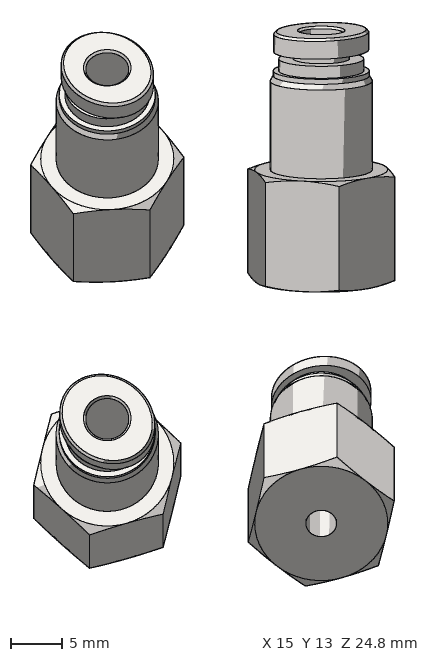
import cadquery as cq
import math

total_height = 24.8
hex_height = 10.99
barrel_top = total_height - 5.0
shoulder_bottom = total_height - 4.5
shoulder_top = total_height - 4.0
collar_top = total_height - 2.8
head_bottom = total_height - 2.0
collet_bottom = hex_height

hex_across_flats = 13.0
hex_across_corners = hex_across_flats / math.cos(math.pi / 6)
hex_chamfer_height = 0.35
barrel_diameter = 10.0
shoulder_diameter = 9.4
collar_diameter = 8.3
through_hole_diameter = 3.0

head_length = 9.85
head_width = 8.63
head_chamfer = 0.25
neck_diameter = 5.5
tube_bore_diameter = 4.2
bore_chamfer = 0.22


def make_chamfered_hex():
    """Hexagonal base with its corners turned down by a cone at both ends."""
    flat_radius = hex_across_flats / 2
    corner_radius = hex_across_corners / 2
    prism = cq.Workplane("XY").polygon(6, hex_across_corners).extrude(hex_height)
    turned_blank = (
        cq.Workplane("XZ")
        .polyline([
            (0, 0),
            (flat_radius, 0),
            (corner_radius, hex_chamfer_height),
            (corner_radius, hex_height - hex_chamfer_height),
            (flat_radius, hex_height),
            (0, hex_height),
        ])
        .close()
        .revolve(360, (0, 0, 0), (0, 1, 0))
    )
    return prism.intersect(turned_blank)


def make_stepped_barrel():
    """Turned barrel with a conical lead, a shoulder and a collar on top."""
    barrel_radius = barrel_diameter / 2
    shoulder_radius = shoulder_diameter / 2
    collar_radius = collar_diameter / 2
    return (
        cq.Workplane("XZ")
        .polyline([
            (0, hex_height),
            (barrel_radius, hex_height),
            (barrel_radius, barrel_top),
            (shoulder_radius, shoulder_bottom),
            (shoulder_radius, shoulder_top),
            (collar_radius, shoulder_top),
            (collar_radius, collar_top),
            (0, collar_top),
        ])
        .close()
        .revolve(360, (0, 0, 0), (0, 1, 0))
    )


def make_housing():
    """Hex base and barrel, with a collet socket above the through hole."""
    through_hole = cq.Workplane("XY").circle(through_hole_diameter / 2).extrude(total_height)
    collet_socket = (
        cq.Workplane("XY", origin=(0, 0, collet_bottom))
        .circle(neck_diameter / 2)
        .extrude(total_height - collet_bottom)
    )
    return make_chamfered_hex().union(make_stepped_barrel()).cut(through_hole).cut(collet_socket)


def make_collet():
    """Release collet: oval push head on a round neck, bored for the tube."""
    head = (
        cq.Workplane("XY", origin=(0, 0, head_bottom))
        .ellipse(head_length / 2, head_width / 2)
        .extrude(total_height - head_bottom)
        .faces(">Z")
        .chamfer(head_chamfer)
    )
    neck = (
        cq.Workplane("XY", origin=(0, 0, collet_bottom))
        .circle(neck_diameter / 2)
        .extrude(head_bottom - collet_bottom)
    )
    tube_bore = (
        cq.Workplane("XY", origin=(0, 0, collet_bottom))
        .circle(tube_bore_diameter / 2)
        .extrude(total_height - collet_bottom)
    )
    collet = head.union(neck).cut(tube_bore)
    bore_rim = cq.selectors.RadiusNthSelector(0)
    return collet.faces(">Z").edges("%CIRCLE").edges(bore_rim).chamfer(bore_chamfer)


housing = make_housing()
collet = make_collet()

result = cq.Compound.makeCompound([housing.val(), collet.val()])